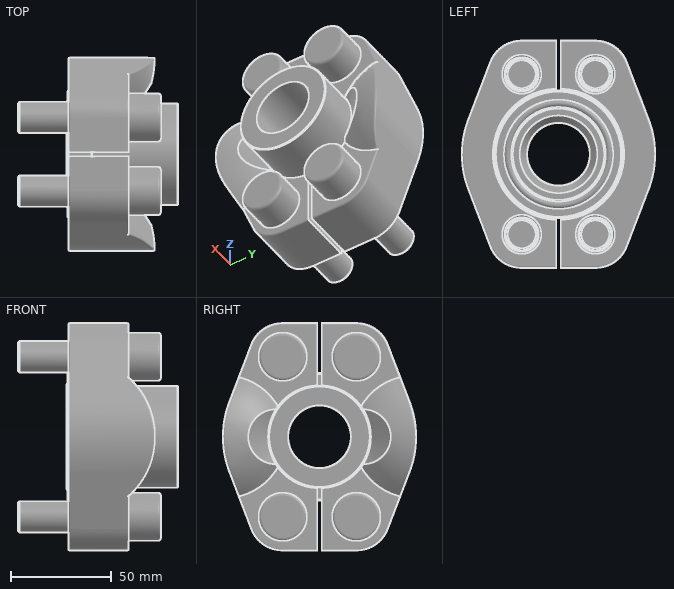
import cadquery as cq
import math


shank_diameter = 15.68
shank_length = 55.0
screw_tip_diameter = 13.84
head_diameter = 24.0
head_height = 16.0
head_fillet = 1.6
screw_spacing_y = 36.5
screw_spacing_z = 79.4
screw_y = screw_spacing_y / 2
screw_z = screw_spacing_z / 2
screw_centers = [(side_y * screw_y, side_z * screw_z) for side_y in (-1, 1) for side_z in (-1, 1)]

plate_thickness = 30.0
plate_back = shank_length
plate_front = plate_back - plate_thickness
flange_height = 112.9
side_radius = 48.0
corner_radius = flange_height / 2 - screw_z
split_gap = 2.0
edge_fillet = 1.0
screw_hole_diameter = 17.0
screw_hole_chamfer = 1.2

ear_tip = 68.0
ear_radius = 42.0
ear_center_x = ear_tip - ear_radius
ear_center_y = side_radius - edge_fillet

stub_protrusion = 0.5
stub_front = plate_front - stub_protrusion
stub_length = 55.0
stub_back = stub_front + stub_length
stub_head_diameter = 63.5
stub_head_thickness = 12.5
stub_head_back = stub_front + stub_head_thickness
stub_head_chamfer = 0.7
neck_diameter = 50.6
neck_fillet = 0.8
neck_end_chamfer = 0.4
pipe_bore_diameter = 31.0
bore_mouth_diameter = 38.5
bore_mouth_depth = 5.5

stub_clearance = 0.25
recess_diameter = stub_head_diameter + 2 * stub_clearance
recess_chamfer = 0.6
flange_bore_diameter = neck_diameter + 2 * stub_clearance
neck_relief_chamfer = neck_fillet
relief_apex_x = 31.0
relief_back = ear_tip + 2.0

groove_outer_diameter = 54.2
groove_inner_diameter = 45.31
ring_section = 3.6
ring_protrusion = 0.5
ring_center_diameter = groove_outer_diameter - ring_section
groove_depth = ring_section - ring_protrusion


def disc(x_start, x_end, diameter, center=(0, 0)):
    """Cylinder along X between two positions, centred at (y, z)."""
    return cq.Workplane("YZ", origin=(x_start, *center)).circle(diameter / 2).extrude(x_end - x_start)


def cone(x_start, x_end, start_diameter, end_diameter, center=(0, 0)):
    """Truncated cone along X between two positions, centred at (y, z)."""
    solid = cq.Solid.makeCone(
        start_diameter / 2,
        end_diameter / 2,
        x_end - x_start,
        cq.Vector(x_start, *center),
        cq.Vector(1, 0, 0),
    )
    return cq.Workplane(solid)


def flange_prism(x_end):
    """Hull of the side circle and the four corner circles, extruded from the plate front."""
    tangent_angle = math.atan2(screw_z, screw_y) - math.acos(
        (side_radius - corner_radius) / math.hypot(screw_y, screw_z)
    )
    corner_middle = (tangent_angle + math.pi / 2) / 2

    def side_point(sign_y, sign_z):
        y = side_radius * math.cos(tangent_angle)
        z = side_radius * math.sin(tangent_angle)
        return (sign_y * y, sign_z * z)

    def corner_point(angle, sign_y, sign_z):
        y = screw_y + corner_radius * math.cos(angle)
        z = screw_z + corner_radius * math.sin(angle)
        return (sign_y * y, sign_z * z)

    outline = cq.Workplane("YZ", origin=(plate_front, 0, 0)).moveTo(*side_point(1, -1))
    for sign in (1, -1):
        outline = (
            outline.threePointArc((sign * side_radius, 0), side_point(sign, sign))
            .lineTo(*corner_point(tangent_angle, sign, sign))
            .threePointArc(
                corner_point(corner_middle, sign, sign), corner_point(math.pi / 2, sign, sign)
            )
            .lineTo(*corner_point(math.pi / 2, -sign, sign))
            .threePointArc(
                corner_point(corner_middle, -sign, sign), corner_point(tangent_angle, -sign, sign)
            )
            .lineTo(*side_point(-sign, sign))
        )
    return outline.close().extrude(x_end - plate_front)


def make_flange_blank():
    """Plate with both ears and rounded outer edges."""
    blank = flange_prism(plate_back)
    for side in (-1, 1):
        dome = cq.Workplane("XY", origin=(ear_center_x, side * ear_center_y, 0)).sphere(ear_radius)
        blank = blank.union(dome.intersect(flange_prism(ear_tip)))
    return blank.faces("#X").edges("not |X").fillet(edge_fillet)


def cut_stub_seat(flange):
    """Recess for the stub head, bore for the neck and the 45 degree relief behind it."""
    flange = flange.cut(disc(plate_front, stub_head_back, recess_diameter))
    mouth_diameter = recess_diameter + 2 * recess_chamfer
    flange = flange.cut(
        cone(plate_front, plate_front + recess_chamfer, mouth_diameter, recess_diameter)
    )
    flange = flange.cut(disc(plate_front, ear_tip, flange_bore_diameter))
    flange = flange.cut(
        cone(
            stub_head_back,
            stub_head_back + neck_relief_chamfer,
            flange_bore_diameter + 2 * neck_relief_chamfer,
            flange_bore_diameter,
        )
    )
    relief_start_diameter = 2 * (plate_back - relief_apex_x)
    relief_end_diameter = 2 * (relief_back - relief_apex_x)
    return flange.cut(cone(plate_back, relief_back, relief_start_diameter, relief_end_diameter))


def cut_screw_holes(flange):
    """Clearance holes with a chamfered front mouth, and room for the heads behind the plate."""
    mouth_diameter = screw_hole_diameter + 2 * screw_hole_chamfer
    for center in screw_centers:
        flange = flange.cut(disc(plate_front, plate_back, screw_hole_diameter, center))
        flange = flange.cut(
            cone(plate_front, plate_front + screw_hole_chamfer, mouth_diameter, screw_hole_diameter, center)
        )
        flange = flange.cut(disc(plate_back, ear_tip, head_diameter, center))
    return flange


def make_flange_halves():
    flange = cut_screw_holes(cut_stub_seat(make_flange_blank()))
    slot_length = ear_tip - plate_front
    slot = cq.Workplane("XY").box(slot_length, split_gap, flange_height, centered=(False, True, True))
    return flange.cut(slot.translate((plate_front, 0, 0)))


def make_stub():
    head = disc(stub_front, stub_head_back, stub_head_diameter).edges().chamfer(stub_head_chamfer)
    neck = disc(stub_head_back, stub_back, neck_diameter).faces(">X").chamfer(neck_end_chamfer)
    stub = head.union(neck)
    neck_edges = stub.edges(cq.selectors.RadiusNthSelector(1))
    stub = neck_edges.edges("<X").fillet(neck_fillet)
    stub = stub.cut(disc(stub_front, stub_back, pipe_bore_diameter))
    stub = stub.cut(
        cone(stub_front, stub_front + bore_mouth_depth, bore_mouth_diameter, pipe_bore_diameter)
    )
    groove_bottom = stub_front + groove_depth
    groove = disc(stub_front, groove_bottom, groove_outer_diameter)
    groove = groove.cut(disc(stub_front, groove_bottom, groove_inner_diameter))
    return stub.cut(groove)


def make_ring():
    """O-ring resting on the groove bottom and against the outer groove wall."""
    ring_x = stub_front + groove_depth - ring_section / 2
    return cq.Workplane(
        cq.Solid.makeTorus(
            ring_center_diameter / 2, ring_section / 2, cq.Vector(ring_x, 0, 0), cq.Vector(1, 0, 0)
        )
    )


def make_screw(center):
    tip_chamfer = (shank_diameter - screw_tip_diameter) / 2
    shank = disc(0, shank_length, shank_diameter, center).faces("<X").chamfer(tip_chamfer)
    head = disc(shank_length, shank_length + head_height, head_diameter, center)
    return shank.union(head.faces(">X").edges().fillet(head_fillet))


flange_halves = make_flange_halves()
stub = make_stub()
ring = make_ring()
screws = [make_screw(center) for center in screw_centers]

result = cq.Compound.makeCompound(
    [*flange_halves.solids().vals(), stub.val(), ring.val(), *[screw.val() for screw in screws]]
)